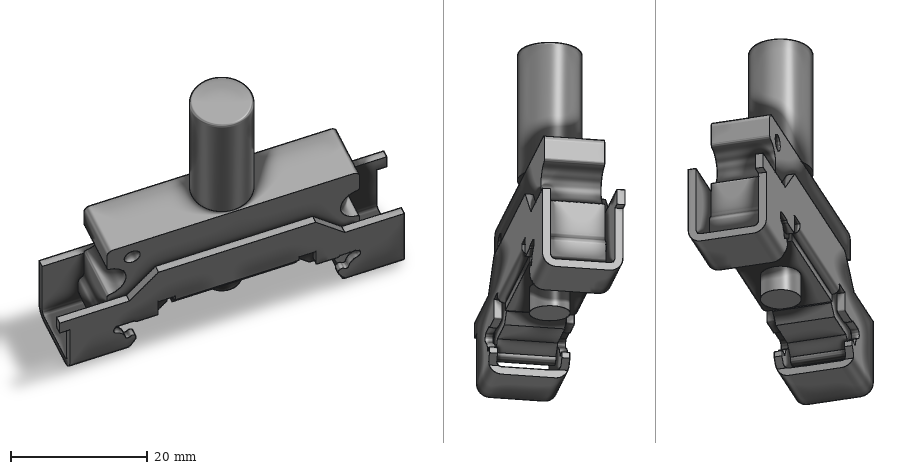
import cadquery as cq
import math

rail_width = 12.0
sheet = 1.2
rail_half_length = 26.5
ear_length = 1.6
bend_outer_radius = 2.0
bend_inner_radius = bend_outer_radius - sheet
ear_bottom_z = 9.85
shoulder_z = 12.2
wall_top_z = 16.8
wall_slope_end_y = 17.05
wall_slope_start_y = wall_slope_end_y - (wall_top_z - shoulder_z)
wall_inner_x = rail_width / 2 - sheet

window_outer_y = 12.5
window_corner_radius = 0.25
slot_ceiling_z = 6.8
slot_step_y = 16.0
slot_step = 0.3
slot_end_radius = 0.8
slot_end_y = 18.75
slot_end_z = slot_ceiling_z + slot_step - slot_end_radius
slot_back_angle = math.radians(20)
slot_bottom_angle = math.radians(22)
lip_middle = (18.22, 5.02)
notch_start = (17.65, 3.9)
notch_bottom = (17.27, 3.6)
notch_end = (16.97, 3.75)
hook_tip_top = (16.5, 3.92)
hook_tip_side = (16.05, 3.5)
hook_slope_start_z = 2.85
hook_slope_end_z = 1.3
floor_end_y = 17.05

flap_half_length = 9.8
flap_bottom_z = 7.15
flap_bend_radius = 1.0
flap_bend_inner_radius = 0.2

slider_width = 9.0
slider_half_length = 20.0
slider_top_z = 23.4
slider_top_fillet = 1.0
slider_arch_y = 10.5
slider_arch_z = 10.0
slider_belly_z = 5.8
slider_belly_chamfer = 1.55
groove_radius = 3.0
groove_z = 16.15
groove_edge_fillet = 0.5
cross_hole_diameter = 2.5
cross_hole_y = -16.0
cross_hole_z = slider_top_z - 3.0

jaw_outer_y = 20.9
jaw_inner_y = 19.3
jaw_bottom_z = 3.25
jaw_bottom_fillet = 0.65
jaw_throat_chamfer = 1.55
jaw_shoulder_z = 7.95
jaw_shoulder_height = 1.7

bolt_diameter = 6.0
bolt_bottom_z = 3.25
neck_diameter = 5.4
head_diameter = 9.5
head_bottom_z = 24.2
head_top_z = 44.3
head_edge_fillet = 0.5


def extruded_along_x(sketch, x_start, x_end):
    """Solid from a (Y, Z) outline, between two X positions."""
    return sketch.extrude(x_end - x_start).translate((x_start, 0, 0))


def cylinder(diameter, bottom_z, top_z):
    return cq.Workplane("XY").workplane(offset=bottom_z).circle(diameter / 2).extrude(top_z - bottom_z)


def with_mirror_half(half):
    """The half at Y >= 0 joined with its mirror image at Y <= 0."""
    return half.union(half.mirror("XZ"))


def channel_section():
    """Full-height U channel with bent corners, before the walls are shaped."""
    outer = (
        cq.Workplane("XY")
        .box(rail_width, 2 * rail_half_length, wall_top_z, centered=(True, True, False))
        .edges("|Y and <Z")
        .fillet(bend_outer_radius)
    )
    inner = (
        cq.Workplane("XY")
        .box(2 * wall_inner_x, 2 * rail_half_length, wall_top_z, centered=(True, True, False))
        .edges("|Y and <Z")
        .fillet(bend_inner_radius)
        .translate((0, 0, sheet))
    )
    return outer.cut(inner)


def wall_half_outline():
    """Half of the wall outline (Y >= 0) with the hooked window below it."""
    slot_top = (slot_end_y, slot_end_z + slot_end_radius)
    slot_back = (
        slot_end_y + slot_end_radius * math.cos(slot_back_angle),
        slot_end_z + slot_end_radius * math.sin(slot_back_angle),
    )
    slot_bottom = (
        slot_end_y + slot_end_radius * math.sin(slot_bottom_angle),
        slot_end_z - slot_end_radius * math.cos(slot_bottom_angle),
    )
    return (
        cq.Workplane("YZ")
        .moveTo(0, flap_bottom_z)
        .lineTo(flap_half_length, flap_bottom_z)
        .lineTo(flap_half_length, ear_bottom_z)
        .lineTo(window_outer_y, ear_bottom_z)
        .lineTo(window_outer_y, slot_ceiling_z + window_corner_radius)
        .radiusArc((window_outer_y + window_corner_radius, slot_ceiling_z), -window_corner_radius)
        .lineTo(slot_step_y, slot_ceiling_z)
        .lineTo(slot_step_y + slot_step, slot_ceiling_z + slot_step)
        .lineTo(*slot_top)
        .threePointArc(slot_back, slot_bottom)
        .threePointArc(lip_middle, notch_start)
        .threePointArc(notch_bottom, notch_end)
        .threePointArc(hook_tip_top, hook_tip_side)
        .lineTo(hook_tip_side[0], hook_slope_start_z)
        .lineTo(floor_end_y, hook_slope_end_z)
        .lineTo(floor_end_y, 0)
        .lineTo(rail_half_length, 0)
        .lineTo(rail_half_length, shoulder_z)
        .lineTo(wall_slope_end_y, shoulder_z)
        .lineTo(wall_slope_start_y, wall_top_z)
        .lineTo(0, wall_top_z)
        .close()
    )


def ear(side):
    """Tab that lengthens one wall: the -X wall towards +Y, the +X wall towards -Y."""
    return (
        cq.Workplane("XY")
        .box(sheet, ear_length, shoulder_z - ear_bottom_z, centered=(True, True, False))
        .translate((
            side * (rail_width - sheet) / 2,
            -side * (rail_half_length + ear_length / 2),
            ear_bottom_z,
        ))
    )


def flap(side, bottom_z):
    """Flap folded inward from the lower end of one wall, reaching the other wall's inner face."""
    top_z = bottom_z + sheet
    wall_end_z = bottom_z + flap_bend_radius
    wall_outer_x = rail_width / 2
    outline = (
        cq.Workplane("XZ")
        .moveTo(-wall_outer_x, wall_end_z)
        .radiusArc((-wall_outer_x + flap_bend_radius, bottom_z), -flap_bend_radius)
        .lineTo(wall_inner_x, bottom_z)
        .lineTo(wall_inner_x, top_z)
        .lineTo(-wall_inner_x + flap_bend_inner_radius, top_z)
        .radiusArc((-wall_inner_x, top_z + flap_bend_inner_radius), flap_bend_inner_radius)
        .lineTo(-wall_inner_x, wall_end_z)
        .close()
    )
    bolt_hole = cylinder(bolt_diameter, bottom_z, top_z)
    solid = outline.extrude(flap_half_length, both=True).cut(bolt_hole)
    return solid if side < 0 else solid.mirror("YZ")


def wall_below_bend(side, bottom_z):
    """Stretch of one wall that its flap's bend replaces."""
    return (
        cq.Workplane("XY")
        .box(sheet, 2 * flap_half_length, bottom_z + flap_bend_radius, centered=(True, True, False))
        .translate((side * (rail_width - sheet) / 2, 0, 0))
    )


def build_rail():
    side_shape = with_mirror_half(extruded_along_x(wall_half_outline(), -rail_width / 2, rail_width / 2))
    rail = channel_section().intersect(side_shape)
    upper_flap_z = flap_bottom_z + sheet
    for side, bottom_z in ((-1, flap_bottom_z), (1, upper_flap_z)):
        rail = rail.cut(wall_below_bend(side, bottom_z)).union(ear(side))
    rail = rail.union(flap(-1, flap_bottom_z))
    return rail.union(flap(1, upper_flap_z), clean=False)


def slider_half_outline():
    """Half of the slider outline (Y >= 0) with its hooked jaw and end groove."""
    shoulder_middle = (
        (slider_half_length + jaw_outer_y) / 2,
        jaw_shoulder_z - jaw_shoulder_height / 2,
    )
    shoulder_bottom = (jaw_outer_y, jaw_shoulder_z - jaw_shoulder_height)
    fillet_reach = groove_radius + groove_edge_fillet
    fillet_offset_z = math.sqrt(fillet_reach**2 - groove_edge_fillet**2)
    tangent_y = slider_half_length - groove_edge_fillet * groove_radius / fillet_reach
    tangent_offset_z = fillet_offset_z * groove_radius / fillet_reach
    return (
        cq.Workplane("YZ")
        .moveTo(0, slider_arch_z)
        .lineTo(slider_arch_y, slider_arch_z)
        .lineTo(slider_arch_y, slider_belly_z + slider_belly_chamfer)
        .lineTo(slider_arch_y + slider_belly_chamfer, slider_belly_z)
        .lineTo(jaw_inner_y - jaw_throat_chamfer, slider_belly_z)
        .lineTo(jaw_inner_y, slider_belly_z - jaw_throat_chamfer)
        .lineTo(jaw_inner_y, jaw_bottom_z + jaw_bottom_fillet)
        .radiusArc((jaw_inner_y + jaw_bottom_fillet, jaw_bottom_z), -jaw_bottom_fillet)
        .lineTo(jaw_outer_y - jaw_bottom_fillet, jaw_bottom_z)
        .radiusArc((jaw_outer_y, jaw_bottom_z + jaw_bottom_fillet), -jaw_bottom_fillet)
        .lineTo(*shoulder_bottom)
        .tangentArcPoint(shoulder_middle, relative=False)
        .tangentArcPoint((slider_half_length, jaw_shoulder_z), relative=False)
        .lineTo(slider_half_length, groove_z - fillet_offset_z)
        .radiusArc((tangent_y, groove_z - tangent_offset_z), -groove_edge_fillet)
        .threePointArc(
            (slider_half_length - groove_radius, groove_z),
            (tangent_y, groove_z + tangent_offset_z),
        )
        .radiusArc((slider_half_length, groove_z + fillet_offset_z), -groove_edge_fillet)
        .lineTo(slider_half_length, slider_top_z - slider_top_fillet)
        .radiusArc((slider_half_length - slider_top_fillet, slider_top_z), -slider_top_fillet)
        .lineTo(0, slider_top_z)
        .close()
    )


def build_slider():
    slider = with_mirror_half(
        extruded_along_x(slider_half_outline(), -slider_width / 2, slider_width / 2)
    )
    cross_hole = extruded_along_x(
        cq.Workplane("YZ").center(cross_hole_y, cross_hole_z).circle(cross_hole_diameter / 2),
        -slider_width / 2,
        slider_width / 2,
    )
    return slider.cut(cross_hole)


def build_bolt():
    shank = cylinder(bolt_diameter, bolt_bottom_z, slider_top_z)
    neck = cylinder(neck_diameter, slider_top_z, head_bottom_z)
    head = cylinder(head_diameter, head_bottom_z, head_top_z).faces(">Z").edges().fillet(head_edge_fillet)
    return shank.union(neck).union(head)


rail = build_rail()
clamp = build_slider().union(build_bolt())
result = cq.Compound.makeCompound([*rail.solids().vals(), *clamp.solids().vals()])